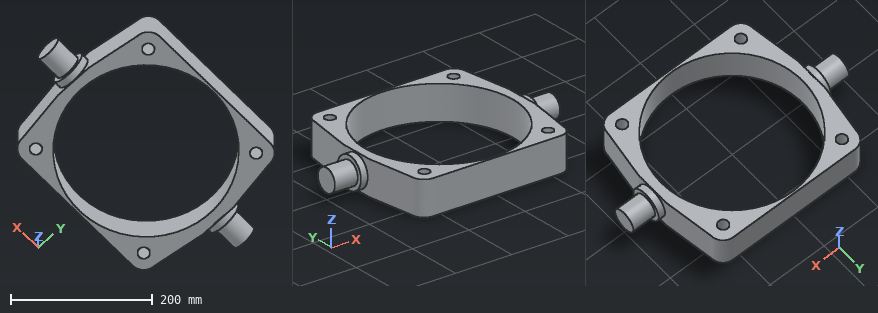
import cadquery as cq
import math

plate_depth = 270.0
plate_height = 60.0
plate_width = 295.0
flat_length = 60.0
corner_radius = 22.5
bore_diameter = 262.0

hole_spacing = 220.0
hole_diameter = 17.5

overall_length = 400.0
shaft_diameter = 40.0
collar_diameter = 55.0
collar_span = 319.0


def make_plate():
    """Square plate with rounded corners whose sides taper out to the trunnion flats."""
    side = plate_width / 2
    flat = flat_length / 2
    edge = plate_depth / 2
    arc_start = edge - corner_radius
    arc_middle = arc_start + corner_radius * math.sqrt(0.5)
    return (
        cq.Workplane("XY", origin=(0, 0, -plate_height / 2))
        .moveTo(side, -flat)
        .lineTo(side, flat)
        .lineTo(edge, arc_start)
        .threePointArc((arc_middle, arc_middle), (arc_start, edge))
        .lineTo(-arc_start, edge)
        .threePointArc((-arc_middle, arc_middle), (-edge, arc_start))
        .lineTo(-side, flat)
        .lineTo(-side, -flat)
        .lineTo(-edge, -arc_start)
        .threePointArc((-arc_middle, -arc_middle), (-arc_start, -edge))
        .lineTo(arc_start, -edge)
        .threePointArc((arc_middle, -arc_middle), (edge, -arc_start))
        .close()
        .extrude(plate_height)
    )


def make_trunnion_bar(diameter, length):
    """Round bar along X, centred on the plate."""
    return cq.Workplane("YZ", origin=(-length / 2, 0, 0)).circle(diameter / 2).extrude(length)


def make_cutters(positions, diameter):
    """Vertical cylinders as tall as the plate."""
    return (
        cq.Workplane("XY", origin=(0, 0, -plate_height / 2))
        .pushPoints(positions)
        .circle(diameter / 2)
        .extrude(plate_height)
    )


hole_offset = hole_spacing / 2
hole_positions = [(x, y) for x in (-hole_offset, hole_offset) for y in (-hole_offset, hole_offset)]

result = (
    make_plate()
    .union(make_trunnion_bar(collar_diameter, collar_span))
    .union(make_trunnion_bar(shaft_diameter, overall_length))
    .cut(make_cutters([(0, 0)], bore_diameter))
    .cut(make_cutters(hole_positions, hole_diameter))
)